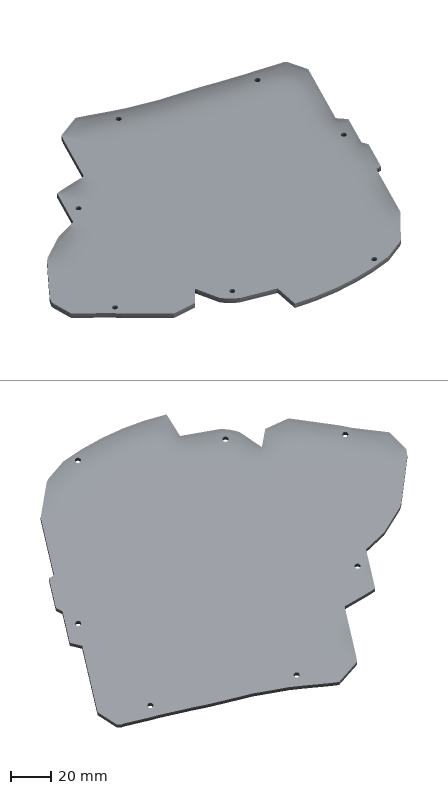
import cadquery as cq

plate_width = 170.88
plate_depth = 189.69
plate_thickness = 3.0
hole_diameter = 3.0

left_x = -plate_width / 2
right_x = plate_width / 2
back_y = plate_depth / 2
front_y = -plate_depth / 2

left_waist_x = -80.9
right_side_x = 71.9
left_back_y = 86.3
back_step_y = 92.0
left_front_y = -46.7
front_step_y = -63.7

left_side = [
    (-85.2, 74.9),
    (-84.3, 61.5),
    (-83.8, 56.3),
    (-82.9, 40.1),
    (-82.7, 33.5),
    (-82.5, 29.7),
    (-81.4, 14.7),
    (left_waist_x, 8.8),
    (left_waist_x, -10.0),
    (-81.3, -15.9),
    (-82.7, -31.5),
    (-82.9, -35.4),
]

front_side = [
    (-73.2, -46.5),
    (-70.0, left_front_y),
    (-40.7, left_front_y),
    (-34.9, -60.8),
    (-33.4, front_step_y),
    (-10.5, front_step_y),
    (-2.8, -74.4),
    (10.0, -85.1),
    (12.6, -86.3),
    (27.9, -91.2),
    (38.6, -94.6),
    (41.9, front_y),
    (43.2, -94.3),
]

thumb_lobe_side = [
    (53.3, -88.6),
    (59.5, -70.8),
    (60.8, -67.8),
    (62.1, -65.0),
    (71.2, -40.6),
    (67.5, -28.0),
    (57.5, -24.3),
    (68.2, -15.2),
]

notch_corner_middle = (70.5, -10.7)
notch_corner_end = (right_side_x, -5.5)

wing_root = (right_side_x, 14.5)
wing_tip = (right_x, 18.6)
wing_arc_middle = (79.9, 48.5)
wing_arc_end = (68.9, 74.7)

back_side = [
    (60.4, 84.1),
    (59.1, 85.0),
    (39.6, back_step_y),
    (5.5, back_step_y),
    (4.5, back_y),
    (-13.1, back_y),
    (-15.7, back_step_y),
    (-34.2, back_step_y),
    (-37.1, left_back_y),
    (-76.2, left_back_y),
    (-84.8, 78.5),
]

left_tip_middle = (left_x, 76.3)

hole_centers = [
    (-24.1, 85.7),
    (68.2, 67.3),
    (-77.5, 59.7),
    (65.6, -7.4),
    (-74.7, -15.4),
    (-19.2, -57.6),
    (56.5, -66.6),
]


def draw_lines(sketch, points):
    """Extend the outline with straight edges through the given points."""
    for x, y in points:
        sketch = sketch.lineTo(x, y)
    return sketch


def make_plate():
    """Flat plate with the full irregular outline, anticlockwise from the back left."""
    outline = cq.Workplane("XY").moveTo(*left_side[0])
    outline = draw_lines(outline, left_side[1:])
    outline = draw_lines(outline, front_side)
    outline = draw_lines(outline, thumb_lobe_side)
    outline = outline.threePointArc(notch_corner_middle, notch_corner_end)
    outline = draw_lines(outline, [wing_root, wing_tip])
    outline = outline.threePointArc(wing_arc_middle, wing_arc_end)
    outline = draw_lines(outline, back_side)
    outline = outline.threePointArc(left_tip_middle, left_side[0])
    return outline.close().extrude(plate_thickness)


def make_hole_cutters():
    """Cylinders that pierce the plate at every screw position."""
    return (
        cq.Workplane("XY")
        .pushPoints(hole_centers)
        .circle(hole_diameter / 2)
        .extrude(plate_thickness)
    )


result = make_plate().cut(make_hole_cutters())